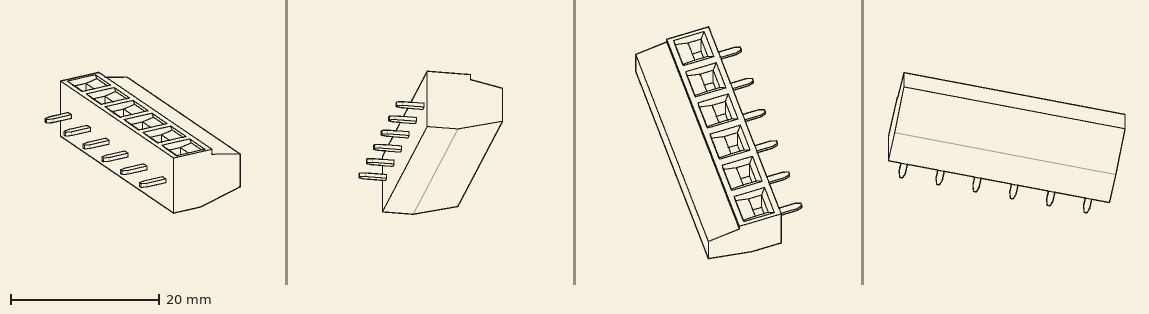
import cadquery as cq


way_count = 6
body_length = 30.48
body_depth = 10.4
body_height = 8.1
pitch = body_length / way_count

top_land_depth = 5.97
land_step = 0.73
rear_top_drop = 1.65
rear_bottom_rise = 1.65
base_depth = 4.25

mouth_width = 4.08
mouth_length = 4.33
mouth_taper = 0.65
mouth_depth = mouth_taper
ramp_length = 1.83
ramp_start_drop = 0.43
entry_depth = body_height / 2
shaft_width = mouth_width - 2 * mouth_taper
shaft_length = mouth_length - mouth_taper - ramp_length
mouth_front = (top_land_depth - mouth_length) / 2
mouth_rear = mouth_front + mouth_length

pin_length = 3.72
pin_width = 0.88
pin_thickness = 0.55
pin_tip_width = 0.4
pin_tip_length = 0.75
pin_height = 4.0


def make_housing():
    """Constant side profile extruded along the row."""
    profile = [
        (0, 0),
        (base_depth, 0),
        (body_depth, rear_bottom_rise),
        (body_depth, body_height - rear_top_drop),
        (top_land_depth, body_height - land_step),
        (top_land_depth, body_height),
        (0, body_height),
    ]
    return cq.Workplane("YZ").polyline(profile).close().extrude(body_length)


def make_entry():
    """Cutting body for one wire entry, centred on X = 0."""
    mouth_floor = body_height - mouth_depth

    upper_centre = mouth_front + mouth_length / 2
    lower_centre = upper_centre + mouth_taper / 2
    funnel = (
        cq.Workplane("XY", origin=(0, upper_centre, body_height))
        .rect(mouth_width, mouth_length)
        .workplane(offset=-mouth_depth)
        .center(0, lower_centre - upper_centre)
        .rect(shaft_width, mouth_length - mouth_taper)
        .loft(ruled=True)
    )

    ramp = (
        cq.Workplane("YZ")
        .polyline([
            (mouth_rear - ramp_length, mouth_floor),
            (mouth_rear, mouth_floor),
            (mouth_rear, body_height - ramp_start_drop),
        ])
        .close()
        .extrude(mouth_width / 2, both=True)
    )

    shaft_centre = mouth_front + mouth_taper + shaft_length / 2
    shaft = (
        cq.Workplane("XY", origin=(0, shaft_centre, mouth_floor))
        .rect(shaft_width, shaft_length)
        .extrude(mouth_depth - entry_depth)
    )
    return funnel.cut(ramp).union(shaft)


def make_pin():
    """Flat pin with a tapered tip, centred on X = 0."""
    shoulder = pin_tip_length - pin_length
    outline = [
        (-pin_width / 2, 0),
        (-pin_width / 2, shoulder),
        (-pin_tip_width / 2, -pin_length),
        (pin_tip_width / 2, -pin_length),
        (pin_width / 2, shoulder),
        (pin_width / 2, 0),
    ]
    return (
        cq.Workplane("XY", origin=(0, 0, pin_height))
        .polyline(outline)
        .close()
        .extrude(pin_thickness / 2, both=True)
    )


result = make_housing()
entry = make_entry()
pin = make_pin()
for way in range(way_count):
    way_position = ((way + 0.5) * pitch, 0, 0)
    result = result.cut(entry.translate(way_position))
    result = result.union(pin.translate(way_position))